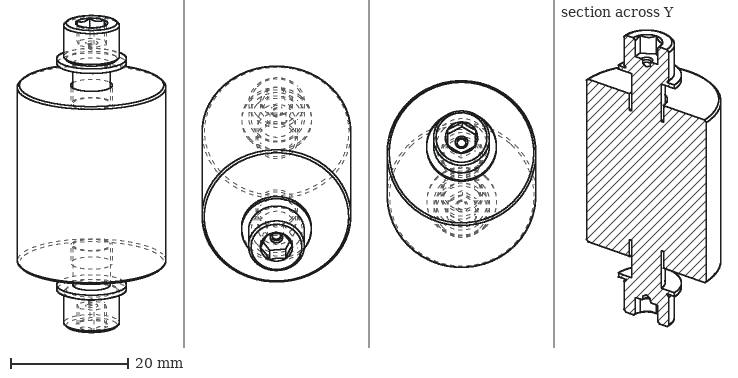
import cadquery as cq
import math

total_length = 54.0
body_diameter = 25.4
body_length = 31.75
body_chamfer = 0.4

clearance_diameter = 7.1
clearance_depth = 3.25

shank_diameter = 6.35
head_diameter = 9.55
head_height = shank_diameter
head_chamfer = 0.45
washer_diameter = 11.95
washer_thickness = 0.8

socket_flats = 4.75
socket_depth = 3.5
socket_corners = socket_flats / math.cos(math.radians(30))
lead_in_depth = 0.4

bore_diameter = 1.5
bore_depth = 0.8
bore_rim_diameter = 2.1
bore_countersink_depth = (bore_rim_diameter - bore_diameter) / 2
drill_point_angle = 118.0
drill_point_depth = bore_diameter / 2 / math.tan(math.radians(drill_point_angle / 2))

body_top = body_length / 2
head_top = total_length / 2
head_bottom = head_top - head_height
washer_bottom = head_bottom - washer_thickness
socket_floor = head_top - socket_depth
clearance_floor = body_top - clearance_depth


def disc(diameter, bottom, top):
    """Round solid on the Z axis between two heights."""
    return cq.Workplane("XY").workplane(offset=bottom).circle(diameter / 2).extrude(top - bottom)


def turned(profile):
    """Solid of revolution about Z from (radius, height) points."""
    return cq.Workplane("XZ").polyline(profile).close().revolve(360, (0, 0), (0, 1))


def make_body():
    """Chamfered cylinder with a clearance hole in both ends."""
    body = disc(body_diameter, -body_top, body_top).edges().chamfer(body_chamfer)
    body = body.cut(disc(clearance_diameter, clearance_floor, body_top))
    return body.cut(disc(clearance_diameter, -body_top, -clearance_floor))


def make_socket():
    """Volume removed from the upper screw head by its drive socket."""
    hexagon = (
        cq.Workplane("XY")
        .workplane(offset=socket_floor)
        .transformed(rotate=(0, 0, 90))
        .polygon(6, socket_corners)
        .extrude(socket_depth)
    )
    corner_radius = socket_corners / 2
    flat_radius = socket_flats / 2
    lead_in = turned([
        (0, head_top),
        (corner_radius, head_top),
        (flat_radius, head_top - lead_in_depth),
        (0, head_top - lead_in_depth),
    ])
    bore_radius = bore_diameter / 2
    bore = turned([
        (0, socket_floor),
        (bore_rim_diameter / 2, socket_floor),
        (bore_radius, socket_floor - bore_countersink_depth),
        (bore_radius, socket_floor - bore_depth),
        (0, socket_floor - bore_depth - drill_point_depth),
    ])
    return hexagon.union(lead_in).union(bore)


def make_upper_screw():
    """Screw with its washer, reaching down to the floor of the clearance hole."""
    head = disc(head_diameter, head_bottom, head_top).edges().chamfer(head_chamfer)
    washer = disc(washer_diameter, washer_bottom, head_bottom)
    shank = disc(shank_diameter, clearance_floor, head_bottom)
    return head.union(washer).union(shank).cut(make_socket())


upper_screw = make_upper_screw()
lower_screw = upper_screw.mirror("XY")
result = make_body().union(upper_screw).union(lower_screw)